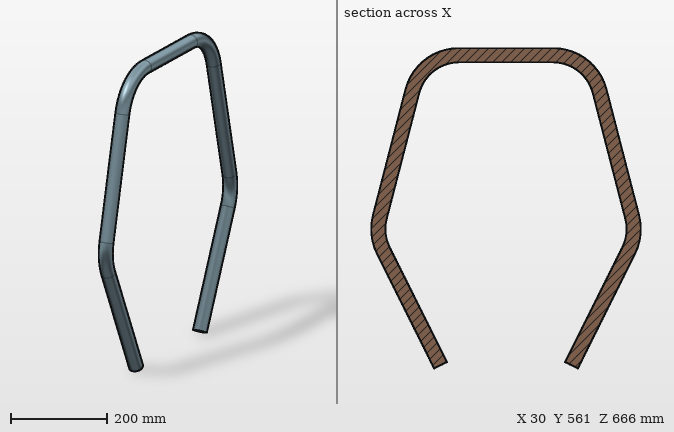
import cadquery as cq
import math

height = 666.0
width = 561.0
tube_diameter = 30.0
upper_bend_radius = 100.0
lower_bend_radius = 100.0
upper_leg_angle = 14.5
lower_leg_angle = 26.5
top_straight_half = 98.0

tube_radius = tube_diameter / 2
upper_tilt = math.radians(upper_leg_angle)
lower_tilt = math.radians(lower_leg_angle)


def arc_point(center_y, center_z, radius, angle):
    """Point on a bend, with the angle measured from +Y towards +Z."""
    return (center_y + radius * math.cos(angle), center_z + radius * math.sin(angle))


top_z = height / 2 - tube_radius
upper_center = (top_straight_half, top_z - upper_bend_radius)
upper_mid = arc_point(*upper_center, upper_bend_radius, (math.pi / 2 + upper_tilt) / 2)
upper_end = arc_point(*upper_center, upper_bend_radius, upper_tilt)

lower_center_y = width / 2 - tube_radius - lower_bend_radius
lower_start_y = lower_center_y + lower_bend_radius * math.cos(upper_tilt)
lower_start_z = upper_end[1] - (lower_start_y - upper_end[0]) / math.tan(upper_tilt)
lower_center = (lower_center_y, lower_start_z - lower_bend_radius * math.sin(upper_tilt))
lower_start = (lower_start_y, lower_start_z)
lower_mid = arc_point(*lower_center, lower_bend_radius, (upper_tilt - lower_tilt) / 2)
lower_end = arc_point(*lower_center, lower_bend_radius, -lower_tilt)

foot_z = -height / 2 + tube_radius * math.sin(lower_tilt)
foot = (lower_end[0] - (lower_end[1] - foot_z) * math.tan(lower_tilt), foot_z)

half_path = (
    cq.Workplane("YZ")
    .moveTo(0, top_z)
    .lineTo(top_straight_half, top_z)
    .threePointArc(upper_mid, upper_end)
    .lineTo(*lower_start)
    .threePointArc(lower_mid, lower_end)
    .lineTo(*foot)
)

half_bar = cq.Workplane("XZ", origin=(0, 0, top_z)).circle(tube_radius).sweep(half_path)
result = half_bar.union(half_bar.mirror("XZ"))